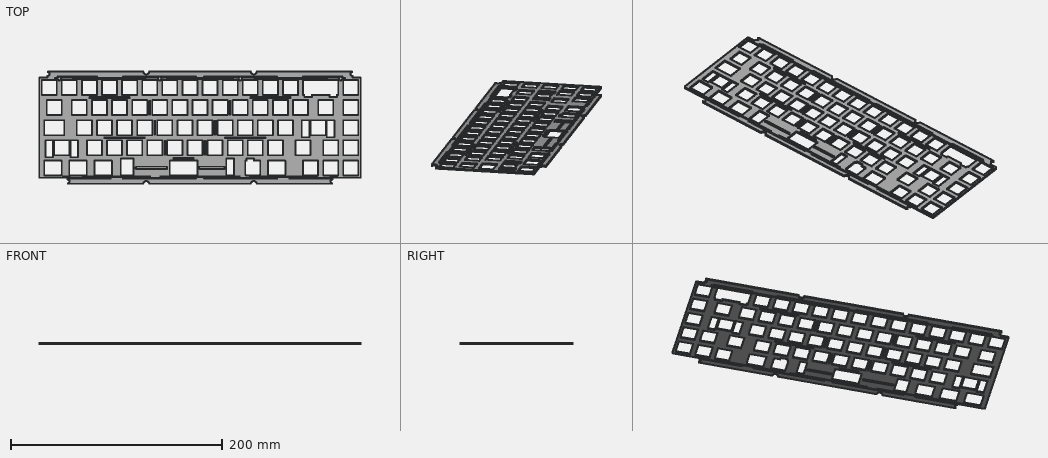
import cadquery as cq

PLATE_LENGTH = 304.8
KEYS_ACROSS = 16
KEY_ROWS = 5
PITCH = PLATE_LENGTH / KEYS_ACROSS
BODY_DEPTH = KEY_ROWS * PITCH
THICKNESS = 1.5
BODY_CORNER_RADIUS = 1.0

OVERALL_DEPTH = 106.7
BACK_TAB_LENGTH = 289.0
FRONT_TAB_LENGTH = 251.2
TAB_CORNER_RADIUS = 1.2
TAB_END_NOTCH_RADIUS = 1.8
TAB_END_NOTCH_INSET = 2.5
TAB_EDGE_NOTCH_RADIUS = 2.7
TAB_EDGE_NOTCH_X = 51.0

SWITCH_SIZE = 14.0
ROUNDED_CORNER_RADIUS = 1.0

STAB_WIDTH = 7.0
STAB_LONG_REACH = 8.8
STAB_SHORT_REACH = SWITCH_SIZE / 2
STAB_OFFSET_2U = 12.0
STAB_OFFSET_6U = 50.0
STAB_OFFSET_7U = 3 * PITCH

FLEX_WIDTH = 1.0
FLEX_LENGTH = 2 * PITCH
SPACE_FLEX_LENGTH = PITCH
SPACE_FLEX_Y = -29.3
SIDE_FLEX_LENGTH = 12.8
SPACE_SLOT_WIDTH = 1.8
SPACE_SLOT_CORNER_RADIUS = 0.75
SPACE_SLOT_SPANS = [(-61, -31.0), (-1.0, 23.5)]

TAB_SLOT_WIDTH = 0.75
TAB_SLOT_WEB = 0.5
OUTER_SLOT_Y = BODY_DEPTH / 2 + TAB_SLOT_WEB / 2
INNER_SLOT_Y = OUTER_SLOT_Y - TAB_SLOT_WIDTH - TAB_SLOT_WEB
BACK_OUTER_SPANS = [(-135.0, -97.5), (-73, -4.0), (4.0, 73), (97.5, 135.0)]
BACK_INNER_SPANS = [(-137.2, -133.5), (-120.0, -51.8), (-31.0, 31.0), (51.8, 120.0), (133.5, 137.2)]
FRONT_OUTER_SPANS = [(-124.5, -84.7), (-73, -4.0), (4.0, 73), (84.7, 124.5)]
FRONT_INNER_SPANS = [(-129.8, -123.5), (-111.0, -47.2), (-37.5, 37.5), (47.2, 111.0), (123.5, 129.8)]

SCREW_HOLE_RADIUS = 1.5
SCREW_HOLE_Y = 46.3
SCREW_HOLE_COLUMNS = [1, 6, 10, 15]

ROW_1 = [0.5 + i for i in range(13)] + [15.5]
ROW_2 = [0.75] + [2 + i for i in range(12)] + [14.25, 15.5]
ROW_3 = [2.25 + i for i in range(11)] + [13.875, 15.5]
ROW_4 = [1.125] + [2.75 + i for i in range(10)] + [13.125, 14.5, 15.5]
ROW_5 = [13.5, 14.5, 15.5]
SWITCH_ROWS = [ROW_1, ROW_2, ROW_3, ROW_4, ROW_5]

BACKSPACE_CENTRES = (13.5, 14.5)
CAPS_LOCK_CENTRES = (0.625, 0.875)
SPACE_CENTRES = (6.875, 7.5)
MODIFIER_CENTRES = [(0.625, 0.75), (1.875, 2), (3.125, 3.25), (11.75, 11.875)]
RIGHT_ALT_CENTRE = 10.625

BACKSPACE_CENTRE = 14
ENTER_CENTRE = 13.875
LEFT_SHIFT_CENTRE = 1.125

ROW_FLEX = [(3.5, 1), (11.5, 1), (4.25, 3), (10.25, 3)]
SIDE_FLEX = [(5.5, 2), (9.5, 2), (5.75, 3), (8.75, 3), (6.25, 4), (8.25, 4)]


def column_x(pitches):
    return pitches * PITCH - PLATE_LENGTH / 2


def row_y(row):
    return ((KEY_ROWS + 1) / 2 - row) * PITCH


def box(x_min, x_max, y_min, y_max):
    """A full-thickness block between the given X and Y limits."""
    block = cq.Workplane("XY").box(x_max - x_min, y_max - y_min, THICKNESS, centered=False)
    return block.translate((x_min, y_min, 0))


def disc(x, y, radius):
    return cq.Workplane("XY").center(x, y).circle(radius).extrude(THICKNESS)


def switch_opening(row, first, last):
    """An opening for a switch centred anywhere from `first` to `last`."""
    half = SWITCH_SIZE / 2
    y = row_y(row)
    return box(column_x(first) - half, column_x(last) + half, y - half, y + half)


def stab_opening(x, row, long_side=-1):
    """A stabilizer opening reaching further toward `long_side` (-1 front, +1 back)."""
    y = row_y(row)
    ends = sorted((y + long_side * STAB_LONG_REACH, y - long_side * STAB_SHORT_REACH))
    return box(x - STAB_WIDTH / 2, x + STAB_WIDTH / 2, *ends)


def slot_along_x(x_min, x_max, y, width):
    return box(x_min, x_max, y - width / 2, y + width / 2)


def tab(length, side):
    """A notched tab running under the body, on the back (side=+1) or front (side=-1) edge."""
    edge_y = side * OVERALL_DEPTH / 2
    bar = box(-length / 2, length / 2, *sorted((0, edge_y)))
    bar = bar.edges("|Z").edges(">Y" if side > 0 else "<Y").fillet(TAB_CORNER_RADIUS)
    for end in (-1, 1):
        end_notch_y = edge_y - side * TAB_END_NOTCH_INSET
        bar = bar.cut(disc(end * length / 2, end_notch_y, TAB_END_NOTCH_RADIUS))
        bar = bar.cut(disc(end * TAB_EDGE_NOTCH_X, edge_y, TAB_EDGE_NOTCH_RADIUS))
    return bar


def blank():
    half_length = PLATE_LENGTH / 2
    half_depth = BODY_DEPTH / 2
    body = box(-half_length, half_length, -half_depth, half_depth)
    body = body.edges("|Z").fillet(BODY_CORNER_RADIUS)
    return body.union(tab(BACK_TAB_LENGTH, 1)).union(tab(FRONT_TAB_LENGTH, -1))


def switch_openings():
    openings = []
    for row, centres in enumerate(SWITCH_ROWS, start=1):
        openings += [switch_opening(row, centre, centre) for centre in centres]
    openings.append(switch_opening(1, *BACKSPACE_CENTRES))
    openings.append(switch_opening(3, *CAPS_LOCK_CENTRES))
    openings.append(switch_opening(5, *SPACE_CENTRES))
    for centres in MODIFIER_CENTRES:
        opening = switch_opening(5, *centres)
        openings.append(opening.edges("|Z and >X").fillet(ROUNDED_CORNER_RADIUS))
    right_alt = switch_opening(5, RIGHT_ALT_CENTRE, RIGHT_ALT_CENTRE)
    openings.append(right_alt.edges("|Z").fillet(ROUNDED_CORNER_RADIUS))
    return openings


def stab_openings():
    openings = []
    for centre, row in [(BACKSPACE_CENTRE, 1), (ENTER_CENTRE, 3), (LEFT_SHIFT_CENTRE, 4)]:
        for side in (-1, 1):
            openings.append(stab_opening(column_x(centre) + side * STAB_OFFSET_2U, row))
    for centre, offset in zip(SPACE_CENTRES, (STAB_OFFSET_6U, STAB_OFFSET_7U)):
        for side in (-1, 1):
            openings.append(stab_opening(column_x(centre) + side * offset, 5, long_side=1))
    return openings


def relief_slots():
    slots = []
    for centre, row in ROW_FLEX:
        x = column_x(centre)
        y = row_y(row + 0.5)
        slots.append(slot_along_x(x - FLEX_LENGTH / 2, x + FLEX_LENGTH / 2, y, FLEX_WIDTH))
    space_x = column_x(sum(SPACE_CENTRES) / 2)
    space_ends = (space_x - SPACE_FLEX_LENGTH / 2, space_x + SPACE_FLEX_LENGTH / 2)
    slots.append(slot_along_x(*space_ends, SPACE_FLEX_Y, FLEX_WIDTH))
    for centre, row in SIDE_FLEX:
        x = column_x(centre)
        y = row_y(row)
        y_ends = (y - SIDE_FLEX_LENGTH / 2, y + SIDE_FLEX_LENGTH / 2)
        slots.append(box(x - FLEX_WIDTH / 2, x + FLEX_WIDTH / 2, *y_ends))
    for span in SPACE_SLOT_SPANS:
        slot = slot_along_x(*span, row_y(5), SPACE_SLOT_WIDTH)
        slots.append(slot.edges("|Z").fillet(SPACE_SLOT_CORNER_RADIUS))
    return slots


def tab_root_slots():
    lines = [
        (BACK_OUTER_SPANS, OUTER_SLOT_Y),
        (BACK_INNER_SPANS, INNER_SLOT_Y),
        (FRONT_OUTER_SPANS, -OUTER_SLOT_Y),
        (FRONT_INNER_SPANS, -INNER_SLOT_Y),
    ]
    return [slot_along_x(*span, y, TAB_SLOT_WIDTH) for spans, y in lines for span in spans]


def screw_holes():
    return [disc(column_x(column), SCREW_HOLE_Y, SCREW_HOLE_RADIUS) for column in SCREW_HOLE_COLUMNS]


cutters = switch_openings() + stab_openings() + relief_slots() + tab_root_slots() + screw_holes()
result = cq.Workplane("XY").newObject([blank().val().cut(*[cutter.val() for cutter in cutters])])